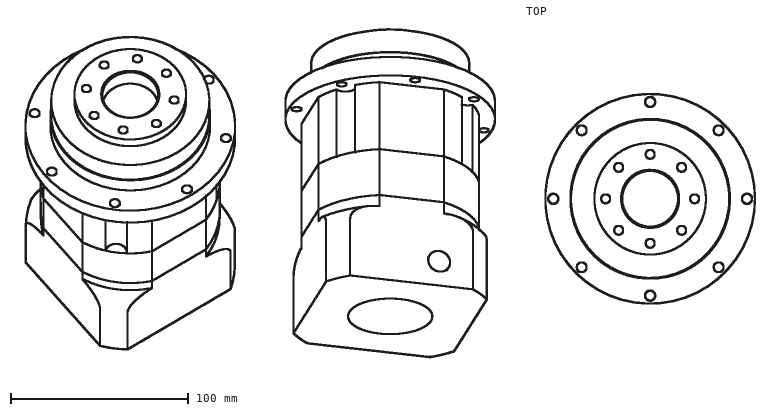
import cadquery as cq

FULL_TURN = 360

SQUARE_SIDE = 93.5
BODY_RADIUS = 50.4
BASE_CORNER_RADIUS = 58.9

SHOULDER_TOP = 45.3
ADAPTER_TOP = 52.0
RING_TOP = 80.5
FLANGE_BOTTOM = 122.0
FLANGE_TOP = 133.4
RELIEF_TOP = 143.0
PILOT_TOP = 157.1
OVERALL_HEIGHT = 163.5

SHOULDER_ROUND = 10.0

FLANGE_RADIUS = 59.0
PILOT_RADIUS = 45.0
RELIEF_RADIUS = 44.5
OUTPUT_RADIUS = 31.4

FLANGE_HOLE_COUNT = 8
FLANGE_HOLE_CIRCLE_RADIUS = 54.5
FLANGE_HOLE_DIAMETER = 5.5

GROOVE_COUNT = 4
GROOVE_START_ANGLE = 45
GROOVE_RADIUS = 6.0

BORE_RADIUS = 15.7
BORE_DEPTH = 11.5
BORE_CHAMFER = 0.7
OUTPUT_HOLE_COUNT = 8
OUTPUT_HOLE_CIRCLE_RADIUS = 25.0
OUTPUT_HOLE_DIAMETER = 5.0
OUTPUT_HOLE_DEPTH = 9.8

HUB_RADIUS = 23.7
ACCESS_HOLE_RADIUS = 6.4
ACCESS_HOLE_Y = -16.0
ACCESS_HOLE_Z = 15.0


def cylinder(radius, bottom, top):
    return cq.Workplane("XY", origin=(0, 0, bottom)).circle(radius).extrude(top - bottom)


def square_block(bottom, top):
    """A square prism centred on the gearbox axis."""
    return cq.Workplane("XY", origin=(0, 0, bottom)).rect(SQUARE_SIDE, SQUARE_SIDE).extrude(top - bottom)


def flatted_cylinder(radius, bottom, top):
    """A cylinder cut to the square, leaving flats with round corners between them."""
    return cylinder(radius, bottom, top).intersect(square_block(bottom, top))


def make_adapter():
    base = cylinder(BASE_CORNER_RADIUS, 0, SHOULDER_TOP).faces(">Z").edges().fillet(SHOULDER_ROUND)
    base = base.intersect(square_block(0, SHOULDER_TOP))
    adapter = base.union(flatted_cylinder(BODY_RADIUS, 0, ADAPTER_TOP))
    access_hole = (
        cq.Workplane("YZ", origin=(-SQUARE_SIDE / 2, ACCESS_HOLE_Y, ACCESS_HOLE_Z))
        .circle(ACCESS_HOLE_RADIUS)
        .extrude(SQUARE_SIDE / 2)
    )
    return adapter.cut(cylinder(HUB_RADIUS, 0, ADAPTER_TOP)).cut(access_hole)


def make_hub():
    return cylinder(HUB_RADIUS, 0, ADAPTER_TOP)


def make_ring():
    return flatted_cylinder(BODY_RADIUS, ADAPTER_TOP, RING_TOP)


def cut_grooves(housing):
    grooves = (
        cq.Workplane("XY", origin=(0, 0, RING_TOP))
        .polarArray(BODY_RADIUS, GROOVE_START_ANGLE, FULL_TURN, GROOVE_COUNT)
        .circle(GROOVE_RADIUS)
        .extrude(FLANGE_BOTTOM - RING_TOP)
    )
    return housing.cut(grooves)


def cut_flange_holes(housing):
    holes = (
        cq.Workplane("XY", origin=(0, 0, FLANGE_BOTTOM))
        .polarArray(FLANGE_HOLE_CIRCLE_RADIUS, 0, FULL_TURN, FLANGE_HOLE_COUNT)
        .circle(FLANGE_HOLE_DIAMETER / 2)
        .extrude(FLANGE_TOP - FLANGE_BOTTOM)
    )
    return housing.cut(holes)


def cut_output_face(housing):
    bore = cylinder(BORE_RADIUS, OVERALL_HEIGHT - BORE_DEPTH, OVERALL_HEIGHT)
    housing = housing.cut(bore)
    rim = housing.faces(">Z").edges(cq.selectors.RadiusNthSelector(0))
    housing = rim.chamfer(BORE_CHAMFER)
    holes = (
        cq.Workplane("XY", origin=(0, 0, OVERALL_HEIGHT - OUTPUT_HOLE_DEPTH))
        .polarArray(OUTPUT_HOLE_CIRCLE_RADIUS, 0, FULL_TURN, OUTPUT_HOLE_COUNT)
        .circle(OUTPUT_HOLE_DIAMETER / 2)
        .extrude(OUTPUT_HOLE_DEPTH)
    )
    return housing.cut(holes)


def make_housing():
    housing = (
        flatted_cylinder(BODY_RADIUS, RING_TOP, FLANGE_BOTTOM)
        .union(cylinder(FLANGE_RADIUS, FLANGE_BOTTOM, FLANGE_TOP))
        .union(cylinder(PILOT_RADIUS, FLANGE_TOP, RELIEF_TOP))
        .union(cylinder(RELIEF_RADIUS, RELIEF_TOP, PILOT_TOP))
        .union(cylinder(OUTPUT_RADIUS, PILOT_TOP, OVERALL_HEIGHT))
    )
    housing = cut_grooves(housing)
    housing = cut_flange_holes(housing)
    return cut_output_face(housing)


adapter = make_adapter()
hub = make_hub()
ring = make_ring()
housing = make_housing()

result = cq.Compound.makeCompound([adapter.val(), hub.val(), ring.val(), housing.val()])